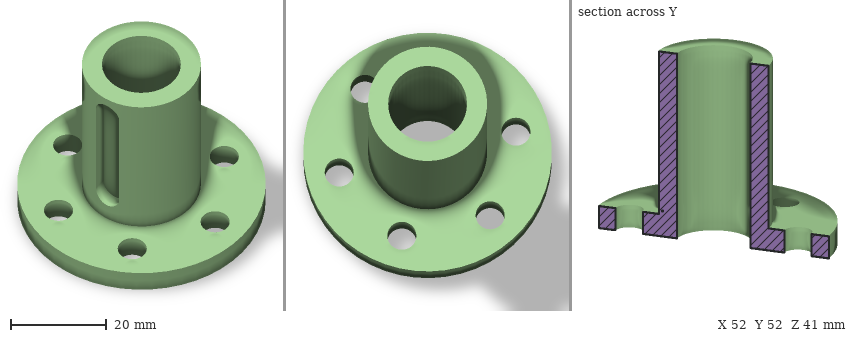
import cadquery as cq

flange_diameter = 52.0
flange_thickness = 5.0
bolt_hole_diameter = 6.1
bolt_circle_diameter = 38.0
bolt_hole_count = 6

total_height = 41.0
sleeve_diameter = 24.9
bore_diameter = 16.5

keyway_width = 6.0
keyway_length = 30.0
keyway_top_gap = 2.0
keyway_depth = 2.95


def flanged_sleeve():
    """Disc flange with its base at Z = 0 and a sleeve rising from it."""
    flange = cq.Workplane("XY").circle(flange_diameter / 2).extrude(flange_thickness)
    sleeve = cq.Workplane("XY").circle(sleeve_diameter / 2).extrude(total_height)
    return flange.union(sleeve)


def bore():
    return cq.Workplane("XY").circle(bore_diameter / 2).extrude(total_height)


def bolt_holes():
    """Evenly spaced through holes, the first one on the +X axis."""
    return (
        cq.Workplane("XY")
        .polarArray(bolt_circle_diameter / 2, 0, 360, bolt_hole_count)
        .circle(bolt_hole_diameter / 2)
        .extrude(flange_thickness)
    )


def keyway():
    """Round-ended upright slot with a flat floor, cut inward from the sleeve's -Y side."""
    center_height = total_height - keyway_top_gap - keyway_length / 2
    return (
        cq.Workplane("XZ", origin=(0, -sleeve_diameter / 2, center_height))
        .slot2D(keyway_length, keyway_width, angle=90)
        .extrude(-keyway_depth)
    )


result = flanged_sleeve().cut(bore()).cut(bolt_holes()).cut(keyway())